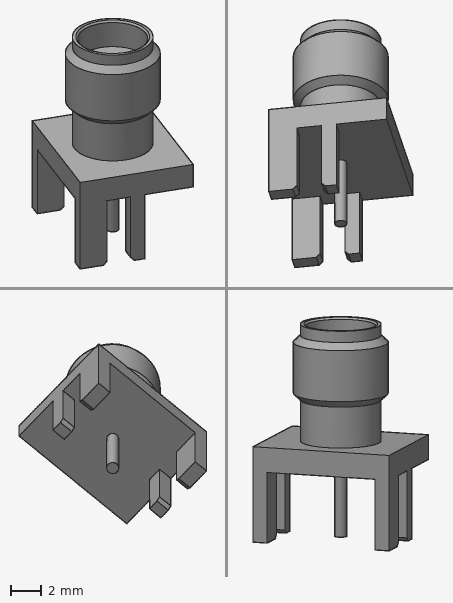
import cadquery as cq

total_height = 14.27
base_length = 9.53
base_width = 7.92
base_thickness = 1.67
leg_height = 4.75
base_top = leg_height + base_thickness

barrel_radius = 2.67
collar_radius = 3.14
collar_bevel_height = 0.45
collar_bottom = base_top + 2.75
collar_top = total_height - 0.75

socket_radius = 2.31
socket_depth = 1.91
mouth_chamfer = 0.13

leg_thickness = 1.0
front_leg_width = 1.88
middle_leg_width = 1.0
leg_gap = 1.65
leg_chamfer = 0.25
pin_radius = 0.4


def make_base():
    base = cq.Workplane("XY").workplane(offset=leg_height).rect(base_length, base_width)
    return base.extrude(base_thickness)


def make_barrel():
    """Revolve the barrel with its bevelled collar, then cut the socket."""
    profile = [
        (0, base_top),
        (barrel_radius, base_top),
        (barrel_radius, collar_bottom),
        (collar_radius, collar_bottom + collar_bevel_height),
        (collar_radius, collar_top - collar_bevel_height),
        (barrel_radius, collar_top),
        (barrel_radius, total_height),
        (0, total_height),
    ]
    barrel = cq.Workplane("XZ").polyline(profile).close().revolve(360, (0, 0), (0, 1))
    socket_profile = [
        (0, total_height - socket_depth),
        (socket_radius, total_height - socket_depth),
        (socket_radius, total_height - mouth_chamfer),
        (socket_radius + mouth_chamfer, total_height),
        (0, total_height),
    ]
    socket = cq.Workplane("XZ").polyline(socket_profile).close().revolve(360, (0, 0), (0, 1))
    return barrel.cut(socket)


def make_leg(x_min, y_min, width, chamfered_edge):
    """Rectangular leg with one foot edge chamfered, on its "<Y" or ">Y" side."""
    leg = cq.Workplane("XY").box(leg_thickness, width, leg_height, centered=False)
    leg = leg.faces("<Z").edges(chamfered_edge).chamfer(leg_chamfer)
    return leg.translate((x_min, y_min, 0))


def make_pin():
    return cq.Workplane("XY").circle(pin_radius).extrude(leg_height)


result = make_base().union(make_barrel()).union(make_pin())

front_leg_y = -base_width / 2
middle_leg_y = front_leg_y + front_leg_width + leg_gap
for leg_x in (-base_length / 2, base_length / 2 - leg_thickness):
    result = result.union(make_leg(leg_x, front_leg_y, front_leg_width, ">Y"))
    result = result.union(make_leg(leg_x, middle_leg_y, middle_leg_width, "<Y"))